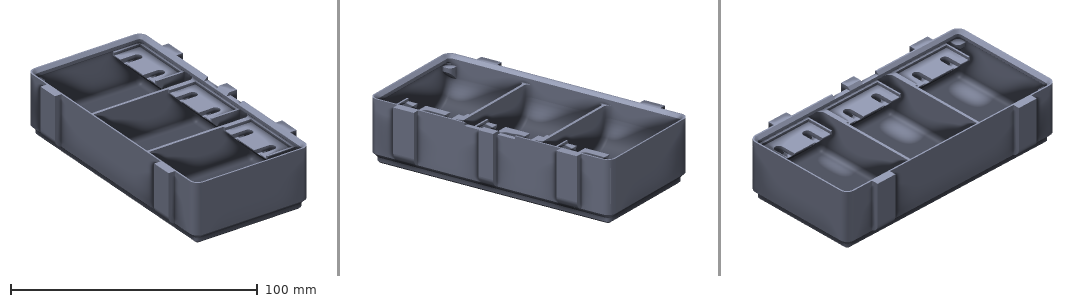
import cadquery as cq
length = 118.5
width = 57.1
height = 29.0
corner_radius = 3.9

foot_lower_chamfer = 0.8
foot_band = 1.8
foot_upper_chamfer = 2.1
foot_height = foot_lower_chamfer + foot_band + foot_upper_chamfer

rim_width = 0.7
lip_slope = 1.4
lip_inset = rim_width + lip_slope
wall = 1.4
overhang = lip_inset - wall
lip_straight = 1.5
lip_foot_z = height - lip_slope
lip_bottom_z = lip_foot_z - lip_straight

compartment_count = 3
divider = 1.3
floor_z = 6.6
floor_radius = 2.5
scoop_radius = 13.0
compartment_length = (length - 2 * wall - (compartment_count - 1) * divider) / compartment_count
compartment_pitch = compartment_length + divider
compartment_front = -width / 2 + lip_inset
compartment_back = width / 2 - wall
shelf_z = lip_bottom_z - overhang

shelf_length = 30.7
shelf_front_offset = 15.4
shelf_front = width / 2 - shelf_front_offset
shelf_edge = 1.8
recess_start = 1.1
recess_length = 28.8
recess_back_offset = 2.6
recess_back = width / 2 - recess_back_offset
recess_depth = 1.3
hole_diameter = 4.0
hole_spacing = 16.0
hole_offset = 8.4
hole_y = width / 2 - hole_offset
slot_run = 1.5
slot_floor_z = shelf_z - shelf_edge - slot_run

pad_step = 0.6
pad_z = shelf_z - pad_step
pad_reach = 5.9
pad_radius = 2.0
pad_thickness = 2.0

tab_depth = 3.2
tab_length = 10.1
tab_x = 39.9
tab_radius = 4.0
latch_length = 7.1
latch_x = -0.4
notch_length = 24.8
notch_x = -0.1


def rounded_block(inset, z, rise):
    """Straight block with the body outline drawn in by `inset`."""
    return (
        cq.Workplane("XY", origin=(0, 0, z))
        .rect(length - 2 * inset, width - 2 * inset)
        .extrude(rise)
        .edges("|Z")
        .fillet(corner_radius - inset)
    )


def flared_block(inset, z, rise, flare):
    """Block with the inset body outline whose sides lean out (flare 1) or in (flare -1) at 45 degrees."""
    outline = cq.Sketch().rect(length - 2 * inset, width - 2 * inset)
    outline = outline.vertices().fillet(corner_radius - inset)
    return cq.Workplane("XY", origin=(0, 0, z)).placeSketch(outline).extrude(rise, taper=-45 * flare)


def block(x0, x1, y0, y1, z0, z1):
    """Axis-aligned box between two corners."""
    return cq.Workplane("XY").box(x1 - x0, y1 - y0, z1 - z0, centered=False).translate((x0, y0, z0))


def make_body():
    foot_inset = foot_upper_chamfer
    body = rounded_block(0, foot_height, height - foot_height)
    body = body.union(flared_block(foot_inset, foot_height - foot_upper_chamfer, foot_upper_chamfer, 1))
    body = body.union(rounded_block(foot_inset, foot_lower_chamfer, foot_band))
    return body.union(flared_block(foot_inset + foot_lower_chamfer, 0, foot_lower_chamfer, 1))


def make_tab(x, tab_size, side):
    """Full-height tab on the back (side 1) or front (side -1) wall, rounded under its outer edge."""
    outer = width / 2 + tab_depth
    tab = block(x - tab_size / 2, x + tab_size / 2, width / 2 - lip_inset, outer, foot_height, height)
    tab = tab.edges(">Y and <Z").fillet(tab_radius)
    if side < 0:
        tab = tab.mirror("XZ")
    return tab


def make_notch():
    """Gap in the back rim, leaving the rim standing behind the latch tab."""
    lip_back = width / 2 - lip_inset
    gap = block(
        notch_x - notch_length / 2, notch_x + notch_length / 2, lip_back, width / 2, lip_foot_z, height
    )
    kept_rim = block(
        latch_x - latch_length / 2, latch_x + latch_length / 2, lip_back, width / 2, lip_foot_z, height
    )
    return gap.cut(kept_rim)


def make_lip_opening():
    """Space inside the lip, widening to the side and back walls under its sloped underside."""
    opening = flared_block(lip_inset, lip_foot_z, lip_slope, 1)
    opening = opening.union(rounded_block(lip_inset, lip_bottom_z, lip_straight))
    undercut = flared_block(wall, shelf_z, overhang, -1)
    behind_front_wall = block(-length, length, compartment_front, width, 0, height)
    return opening.union(undercut.intersect(behind_front_wall))


def make_compartment(x0):
    """Cavity with rounded corners and floor, and a scoop rising to the front wall."""
    cavity = (
        cq.Workplane("YZ", origin=(x0, 0, 0))
        .moveTo(compartment_front, shelf_z)
        .lineTo(compartment_front, floor_z + scoop_radius)
        .radiusArc((compartment_front + scoop_radius, floor_z), -scoop_radius)
        .lineTo(compartment_back, floor_z)
        .lineTo(compartment_back, shelf_z)
        .close()
        .extrude(compartment_length)
    )
    back_floor_edge = cavity.edges("|X and >Y and <Z")
    return cavity.faces("|X").edges("not(>Z or |X)").add(back_floor_edge).fillet(floor_radius)


def make_shelf(x0):
    """Label shelf on a sloped support, with a label recess and two slotted holes."""
    depth = compartment_back - shelf_front
    shelf = (
        cq.Workplane("YZ", origin=(x0 - divider / 2, 0, 0))
        .moveTo(shelf_front, shelf_z)
        .lineTo(shelf_front, shelf_z - shelf_edge)
        .lineTo(compartment_back, shelf_z - shelf_edge - depth)
        .lineTo(compartment_back, shelf_z)
        .close()
        .extrude(shelf_length + divider / 2)
    )
    recess_x = x0 + recess_start
    shelf = shelf.cut(
        block(recess_x, recess_x + recess_length, shelf_front, recess_back, shelf_z - recess_depth, shelf_z)
    )
    for side in (-1, 1):
        x = recess_x + recess_length / 2 + side * hole_spacing / 2
        hole = cq.Workplane("XY", origin=(x, hole_y, 0)).circle(hole_diameter / 2).extrude(shelf_z)
        slot = block(
            x - hole_diameter / 2, x + hole_diameter / 2, shelf_front, hole_y, slot_floor_z, shelf_z
        )
        shelf = shelf.cut(hole).cut(slot)
    return shelf


def make_pad(side_x, side_y):
    """Corner pad with one rounded corner, on a support sloping down to the front or back wall."""
    x = length / 2 - pad_reach
    y = width / 2 - pad_reach
    drop = pad_thickness + pad_reach
    pad = block(x, length / 2, y, width / 2, pad_z - drop, pad_z)
    pad = pad.edges("|Z and <X and <Y").fillet(pad_radius)
    slope = (
        cq.Workplane("YZ")
        .moveTo(y, pad_z - pad_thickness)
        .lineTo(y + pad_reach, pad_z - drop)
        .lineTo(y, pad_z - drop)
        .close()
        .extrude(length)
    )
    pad = pad.cut(slope).intersect(rounded_block(wall / 2, 0, height))
    if side_x < 0:
        pad = pad.mirror("YZ")
    if side_y < 0:
        pad = pad.mirror("XZ")
    return pad


body = make_body()
for x in (-tab_x, tab_x):
    for side in (-1, 1):
        body = body.union(make_tab(x, tab_length, side))
body = body.cut(make_notch())
body = body.union(make_tab(latch_x, latch_length, 1))

body = body.cut(make_lip_opening())
compartment_starts = [-length / 2 + wall + i * compartment_pitch for i in range(compartment_count)]
for x0 in compartment_starts:
    body = body.cut(make_compartment(x0))

for x0 in compartment_starts:
    body = body.union(make_shelf(x0))
for side_x, side_y in ((1, 1), (1, -1), (-1, -1)):
    body = body.union(make_pad(side_x, side_y))

result = body